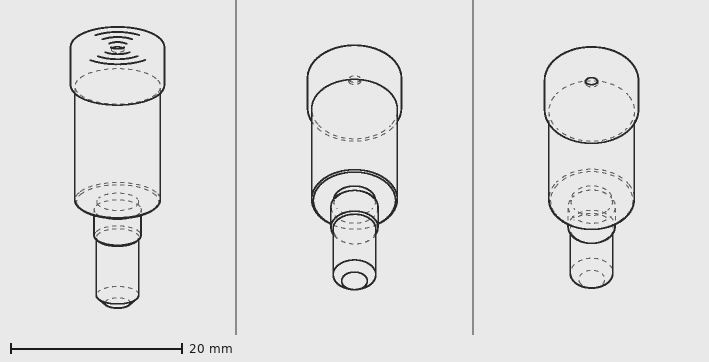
import cadquery as cq
import math

total_length = 33.0
body_length = 20.0
head_length = 5.2

head_radius = 5.5
body_radius = 5.0
neck_radius = 2.45
band_radius = 2.75
pin_radius = 2.5
tip_radius = 1.5

face_round = 0.25
head_round = 0.2
body_chamfer = 0.2
band_chamfer = 0.25

neck_length = 0.5
neck_fillet = 0.5
shoulder_angle = math.radians(45)
band_bottom = 8.4

ridge_count = 2
hole_radius = 0.75
flank_angle = math.radians(30)
hole_depth = 0.5

rim_crest_radius = head_radius - face_round
hole_crest_radius = hole_radius + face_round
ridge_pitch = (rim_crest_radius - hole_crest_radius) / (ridge_count + 1)

head_bottom = total_length - head_length
body_bottom = total_length - body_length
neck_bottom = body_bottom - neck_length

shoulder_radius = neck_radius + neck_fillet * (1 - math.cos(shoulder_angle))
shoulder_top = neck_bottom - neck_fillet * math.sin(shoulder_angle)
band_top = shoulder_top - (band_radius - shoulder_radius) / math.tan(shoulder_angle)

tangent_offset = face_round * math.sin(flank_angle)
tangent_drop = face_round * (1 - math.cos(flank_angle))
flank_width = ridge_pitch / 2 - 2 * tangent_offset
groove_depth = 2 * tangent_drop + flank_width * math.tan(flank_angle)
valley_height = total_length - groove_depth


def add_valley(outline, radius):
    """Slope inwards down to a rounded valley floor centred on the given radius."""
    side_height = valley_height + tangent_drop
    outline = outline.lineTo(radius + tangent_offset, side_height)
    return outline.threePointArc((radius, valley_height), (radius - tangent_offset, side_height))


def slope_up_to_crest(outline, radius):
    """Slope inwards up to where the rounding of the crest at the given radius begins."""
    return outline.lineTo(radius + tangent_offset, total_length - tangent_drop)


def add_ridge(outline, radius):
    """Slope inwards up to a rounded crest centred on the given radius, and over it."""
    outline = slope_up_to_crest(outline, radius)
    inner_side = (radius - tangent_offset, total_length - tangent_drop)
    return outline.threePointArc((radius, total_length), inner_side)


def add_hole(outline):
    """Slope up to the innermost crest, which rounds over into a flat-bottomed hole."""
    hole_floor = total_length - hole_depth
    outline = slope_up_to_crest(outline, hole_crest_radius)
    mouth_edge = (hole_radius, total_length - face_round)
    outline = outline.threePointArc((hole_crest_radius, total_length), mouth_edge)
    return outline.lineTo(hole_radius, hole_floor).lineTo(0, hole_floor)


def shaft_outline():
    """Half section from the pin tip up to the top of the head's side."""
    return (
        cq.Workplane("XZ")
        .moveTo(0, 0)
        .lineTo(tip_radius, 0)
        .lineTo(pin_radius, pin_radius - tip_radius)
        .lineTo(pin_radius, band_bottom)
        .lineTo(band_radius, band_bottom + band_chamfer)
        .lineTo(band_radius, band_top)
        .lineTo(shoulder_radius, shoulder_top)
        .radiusArc((neck_radius, neck_bottom), neck_fillet)
        .lineTo(neck_radius, body_bottom)
        .lineTo(body_radius - body_chamfer, body_bottom)
        .lineTo(body_radius, body_bottom + body_chamfer)
        .lineTo(body_radius, head_bottom)
        .lineTo(head_radius - head_round, head_bottom)
        .radiusArc((head_radius, head_bottom + head_round), -head_round)
        .lineTo(head_radius, total_length - face_round)
    )


def add_contact_face(outline):
    """Rounded rim, then alternating valleys and ridges down to the central hole."""
    rim_inner_side = (rim_crest_radius - tangent_offset, total_length - tangent_drop)
    outline = outline.threePointArc((rim_crest_radius, total_length), rim_inner_side)
    for index in range(1, ridge_count + 1):
        ridge_radius = rim_crest_radius - index * ridge_pitch
        outline = add_valley(outline, ridge_radius + ridge_pitch / 2)
        outline = add_ridge(outline, ridge_radius)
    outline = add_valley(outline, hole_crest_radius + ridge_pitch / 2)
    return add_hole(outline)


half_section = add_contact_face(shaft_outline()).close()
result = half_section.revolve(360, (0, 0, 0), (0, 1, 0))